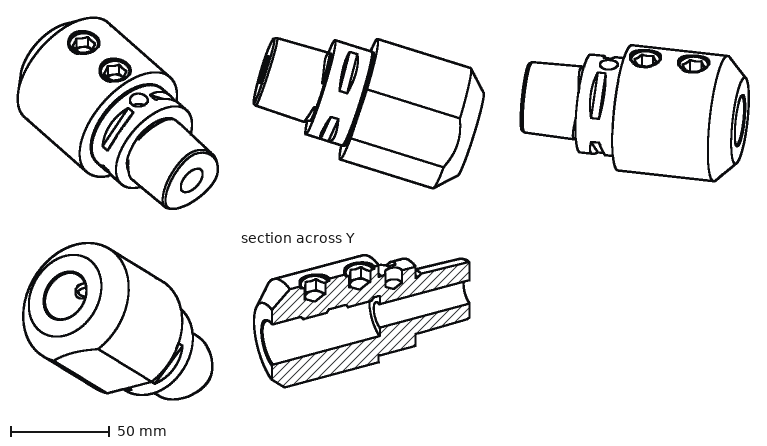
import cadquery as cq
import math


overall_length = 110.0
nose_chamfer = 10.0
body_end = 59.5
flange_start = 60.5
flange_end = 80.0
taper_start = 82.9

body_radius = 32.0
body_flat_drop = 29.0
relief_radius = 49.6 / 2
flange_radius = 50.0 / 2

bore_radius = 25.0 / 2
bore_depth = 60.0
bore_chamfer = 0.5
through_radius = 14.4 / 2

screw_positions = [24.0, 49.0]
screw_radius = 15.8 / 2
screw_end_radius = 6.5
screw_end_length = 1.9
screw_top = 30.7
countersink_radius = 14.4 / 2
screw_bottom = 10.7
hex_flats = 10.0
hex_depth = 7.7
drill_half_angle = math.radians(59)

flange_hole_x = 67.9
flange_hole_radius = 9.0 / 2
flange_hole_depth = 7.7

slot_center_x = 70.1
slot_floor_width = 4.1
slot_mouth_width = 6.9
slot_floor_distance = 22.0
slot_angles = [45, 135, 225, 315]

polygon_width = 37.3
polygon_radius = polygon_width / 2
lobe_height = 1.05
lobe_count = 3
taper_per_side = 1 / 40
end_chamfer_length = 1.3
end_chamfer_height = 0.8
neck_radius = 17.9
neck_length = 1.2
neck_corner_radius = 0.7
neck_angle = math.pi / 4
neck_inset = 0.1
neck_taper_end = 82.0
lobe_points = 13


def revolve_about_x(profile):
    return profile.revolve(360, (0, 0, 0), (1, 0, 0))


def make_body():
    """Stepped round body with a conical nose, gripper flange and one flat underside."""
    nose_radius = body_radius - nose_chamfer
    profile = [
        (0, 0), (0, nose_radius), (nose_chamfer, body_radius), (body_end, body_radius),
        (body_end, relief_radius), (flange_start, relief_radius), (flange_start, flange_radius),
        (flange_end, flange_radius), (flange_end, 0),
    ]
    body = revolve_about_x(cq.Workplane("XY").polyline(profile).close())
    flat_cut = (
        cq.Workplane("XY", origin=(0, 0, -body_flat_drop))
        .rect(4 * body_end, 4 * body_radius)
        .extrude(-body_radius)
    )
    return body.cut(flat_cut)


def polygon_point(mean_radius, angle):
    """Point (y, z) of a constant-width three-lobed curve with one lobe on +Z."""
    reach = mean_radius + lobe_height * math.cos(lobe_count * angle)
    slope = -lobe_count * lobe_height * math.sin(lobe_count * angle)
    y = -reach * math.sin(angle) - slope * math.cos(angle)
    z = reach * math.cos(angle) - slope * math.sin(angle)
    return y, z


def polygon_wire(x, mean_radius):
    """Closed section at x made of three lobe curves that meet in the middle of the flat sides."""
    lobes = []
    lobe_angle = 2 * math.pi / lobe_count
    step = lobe_angle / (lobe_points - 1)
    for lobe in range(lobe_count):
        first = (lobe - 0.5) * lobe_angle
        points = [cq.Vector(x, *polygon_point(mean_radius, first + i * step)) for i in range(lobe_points)]
        last = first + lobe_angle
        tangents = [cq.Vector(0, -math.cos(a), -math.sin(a)) for a in (first, last)]
        lobes.append(cq.Edge.makeSpline(points, tangents=tangents))
    return cq.Wire.assembleEdges(lobes)


def polygon_section(start, start_radius, end, end_radius):
    """Straight-sided solid between two polygon sections."""
    wires = [polygon_wire(start, start_radius), polygon_wire(end, end_radius)]
    return cq.Workplane(cq.Solid.makeLoft(wires, True))


def make_shank():
    """Polygon shank: short neck, straight band, long taper and chamfered tip."""
    chamfer_start = overall_length - end_chamfer_length
    small_radius = polygon_radius - taper_per_side * (chamfer_start - taper_start)
    tip_radius = small_radius - end_chamfer_height
    shank = polygon_section(flange_end, polygon_radius - neck_inset, neck_taper_end, polygon_radius)
    shank = shank.union(polygon_section(neck_taper_end, polygon_radius, taper_start, polygon_radius))
    shank = shank.union(polygon_section(taper_start, polygon_radius, chamfer_start, small_radius))
    shank = shank.union(polygon_section(chamfer_start, small_radius, overall_length, tip_radius))
    return shank.cut(make_neck())


def make_neck():
    """Round undercut that trims only the lobes beside the flange, with a rounded conical run-out."""
    rise = 2 * lobe_height
    run = rise / math.tan(neck_angle)
    start = flange_end + neck_length
    tangent = neck_corner_radius * math.tan(neck_angle / 2)
    arc_start = (start - tangent, neck_radius)
    arc_middle = (
        arc_start[0] + neck_corner_radius * math.sin(neck_angle / 2),
        neck_radius + neck_corner_radius * (1 - math.cos(neck_angle / 2)),
    )
    arc_end = (start + tangent * math.cos(neck_angle), neck_radius + tangent * math.sin(neck_angle))
    profile = (
        cq.Workplane("XY")
        .moveTo(flange_end, neck_radius)
        .lineTo(*arc_start)
        .threePointArc(arc_middle, arc_end)
        .lineTo(start + run, neck_radius + rise)
        .lineTo(flange_end, neck_radius + rise)
        .close()
    )
    return revolve_about_x(profile)


def make_bores():
    """Tool bore with a chamfered mouth, followed by a smaller through hole."""
    mouth = bore_radius + bore_chamfer
    profile = [
        (0, 0), (0, mouth), (bore_chamfer, bore_radius), (bore_depth, bore_radius),
        (bore_depth, through_radius), (overall_length, through_radius), (overall_length, 0),
    ]
    return revolve_about_x(cq.Workplane("XY").polyline(profile).close())


def drill_cone(x, z, radius):
    """Cone that points down from its round base at height z."""
    depth = radius / math.tan(drill_half_angle)
    return cq.Workplane(cq.Solid.makeCone(radius, 0, depth, cq.Vector(x, 0, z), cq.Vector(0, 0, -1)))


def make_screw(x):
    """Set screw with a tapered lower end and a countersunk hexagon socket."""
    shoulder = screw_bottom + screw_end_length
    end = cq.Solid.makeCone(screw_end_radius, screw_radius, screw_end_length, cq.Vector(x, 0, screw_bottom))
    screw = (
        cq.Workplane("XY", origin=(x, 0, shoulder))
        .circle(screw_radius)
        .extrude(screw_top - shoulder)
        .union(cq.Workplane(end))
    )
    hex_socket = (
        cq.Workplane("XY", origin=(x, 0, screw_top))
        .polygon(6, hex_flats / math.cos(math.pi / 6))
        .extrude(-hex_depth)
    )
    countersink = drill_cone(x, screw_top, countersink_radius)
    return screw.cut(countersink).cut(hex_socket).cut(drill_cone(x, screw_top - hex_depth, hex_flats / 2))


def screw_hole(x):
    return cq.Workplane("XY", origin=(x, 0, 0)).circle(screw_radius).extrude(body_radius)


def make_flange_hole():
    floor = flange_radius - flange_hole_depth
    hole = (
        cq.Workplane("XY", origin=(flange_hole_x, 0, floor))
        .circle(flange_hole_radius)
        .extrude(2 * flange_hole_depth)
    )
    return hole.union(drill_cone(flange_hole_x, floor, flange_hole_radius))


def make_gripper_slot(angle):
    """Straight trapezoidal slot across the flange rim, turned about X."""
    half_floor = slot_floor_width / 2
    half_mouth = slot_mouth_width / 2
    profile = [
        (slot_center_x - half_floor, slot_floor_distance), (slot_center_x + half_floor, slot_floor_distance),
        (slot_center_x + half_mouth, flange_radius), (slot_center_x - half_mouth, flange_radius),
    ]
    slot = cq.Workplane("XZ").polyline(profile).close().extrude(flange_radius, both=True)
    return slot.rotate((0, 0, 0), (1, 0, 0), angle)


result = make_body().union(make_shank()).cut(make_bores())
for screw_x in screw_positions:
    result = result.cut(screw_hole(screw_x)).union(make_screw(screw_x))
result = result.cut(make_flange_hole())
for slot_angle in slot_angles:
    result = result.cut(make_gripper_slot(slot_angle))